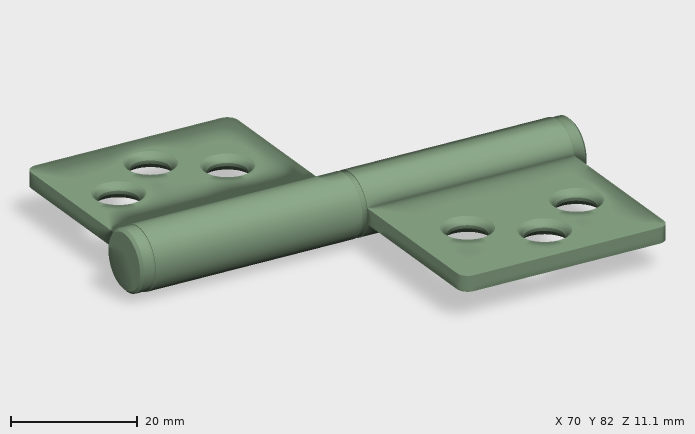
import cadquery as cq

hinge_length = 82.0
hinge_width = 70.0

knuckle_diameter = 11.1
collar_diameter = 10.75
knuckle_length = 38.0
cap_length = 2.55
cap_chamfer = 0.5
gap_length = hinge_length - 2 * (cap_length + knuckle_length)

leaf_reach = hinge_width / 2
leaf_thickness = 2.8
corner_radius = 2.0

hole_diameter = 6.5
countersink_diameter = 8.7
inner_hole_x = 19.5
outer_hole_x = 26.5
hole_pitch = 10.0
hole_row_offset = 1.0
countersink_depth = (countersink_diameter - hole_diameter) / 2

knuckle_start = gap_length / 2
knuckle_end = knuckle_start + knuckle_length
knuckle_middle = knuckle_start + knuckle_length / 2
hole_row_middle = knuckle_middle + hole_row_offset


def barrel_section(diameter, start, length):
    """Cylinder along +Y, beginning at the given Y position."""
    plane = cq.Plane(origin=(0, start, 0), xDir=(1, 0, 0), normal=(0, 1, 0))
    return cq.Workplane(plane).circle(diameter / 2).extrude(length)


def leaf_plate():
    """Flat leaf from the barrel axis to +X, with rounded outer corners."""
    return (
        cq.Workplane("XY")
        .box(leaf_reach, knuckle_length, leaf_thickness)
        .translate((leaf_reach / 2, knuckle_middle, 0))
        .edges("|Z and >X")
        .fillet(corner_radius)
    )


def screw_hole_cutter(x, y):
    """Through hole with a matching countersink on both faces of the leaf."""
    half_thickness = leaf_thickness / 2
    throat_half_height = half_thickness - countersink_depth
    half_profile = [
        (0, -half_thickness),
        (countersink_diameter / 2, -half_thickness),
        (hole_diameter / 2, -throat_half_height),
        (hole_diameter / 2, throat_half_height),
        (countersink_diameter / 2, half_thickness),
        (0, half_thickness),
    ]
    cutter = cq.Workplane("XZ").polyline(half_profile).close().revolve(360, (0, 0), (0, 1))
    return cutter.translate((x, y, 0))


def drilled_leaf():
    """Leaf with three screw holes in a triangle."""
    leaf = leaf_plate()
    hole_points = [
        (inner_hole_x, hole_row_middle - hole_pitch),
        (outer_hole_x, hole_row_middle),
        (inner_hole_x, hole_row_middle + hole_pitch),
    ]
    for x, y in hole_points:
        leaf = leaf.cut(screw_hole_cutter(x, y))
    return leaf


def make_hinge_half():
    """Leaf, knuckle and chamfered end cap on the +X, +Y side."""
    cap = barrel_section(collar_diameter, knuckle_end, cap_length).faces(">Y").chamfer(cap_chamfer)
    knuckle = barrel_section(knuckle_diameter, knuckle_start, knuckle_length)
    return knuckle.union(cap).union(drilled_leaf())


def make_collared_half():
    """The +Y half, with the spacer collar that bears on the other knuckle."""
    spacer = barrel_section(collar_diameter, -gap_length / 2, gap_length)
    return make_hinge_half().union(spacer)


def make_plain_half():
    """The -Y half: the same shape turned half a turn about Z."""
    return make_hinge_half().rotate((0, 0, 0), (0, 0, 1), 180)


collared_half = make_collared_half()
plain_half = make_plain_half()

result = cq.Compound.makeCompound([collared_half.val(), plain_half.val()])